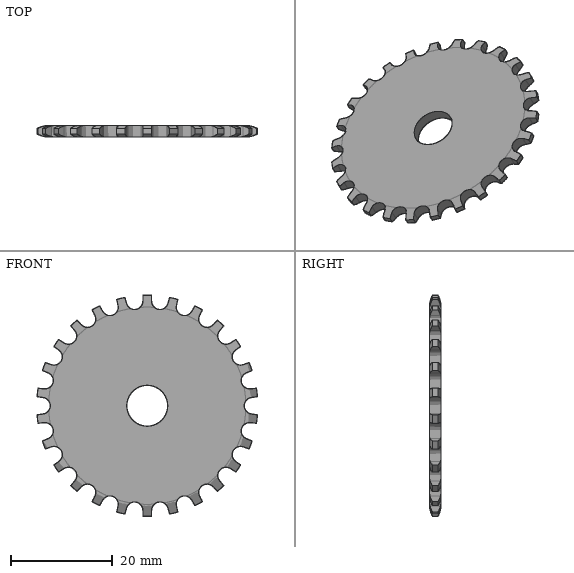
import cadquery as cq
import math


TOOTH_COUNT = 26
CHAIN_PITCH = 5.0
ROLLER_SEAT_RADIUS = 1.616

THICKNESS = 2.3
TIP_RADIUS = 21.8
BORE_DIAMETER = 8.0

TIP_HALF_WIDTH = 0.85
RELIEF_START_RADIUS = 19.42
RELIEF_ARC_RADIUS = 5.0

CUT_OVERRUN = 1.0

HALF_THICKNESS = THICKNESS / 2
HALF_PITCH_ANGLE = math.pi / TOOTH_COUNT
PITCH_RADIUS = CHAIN_PITCH / (2 * math.sin(HALF_PITCH_ANGLE))
CUT_RADIUS = TIP_RADIUS + CUT_OVERRUN


def relief_inset(radius):
    """Axial distance from the flat face to the relief arc at a given radius."""
    radial_run = radius - RELIEF_START_RADIUS
    return RELIEF_ARC_RADIUS - math.sqrt(RELIEF_ARC_RADIUS**2 - radial_run**2)


def make_blank():
    """Bored disc with a thinned rim, revolved about the Y axis."""
    bore_radius = BORE_DIAMETER / 2
    middle_radius = (RELIEF_START_RADIUS + TIP_RADIUS) / 2
    middle_y = HALF_THICKNESS - relief_inset(middle_radius)
    tip_y = HALF_THICKNESS - relief_inset(TIP_RADIUS)
    section = (
        cq.Workplane("XY")
        .moveTo(bore_radius, -HALF_THICKNESS)
        .lineTo(RELIEF_START_RADIUS, -HALF_THICKNESS)
        .threePointArc((middle_radius, -middle_y), (TIP_RADIUS, -tip_y))
        .lineTo(TIP_RADIUS, tip_y)
        .threePointArc((middle_radius, middle_y), (RELIEF_START_RADIUS, HALF_THICKNESS))
        .lineTo(bore_radius, HALF_THICKNESS)
        .close()
    )
    return section.revolve(360, (0, 0, 0), (0, 1, 0))


def make_gap_cutter():
    """Tooth gap centred on +Z: a roller seat arc with straight flanks tangent to it."""
    corner_angle = HALF_PITCH_ANGLE - math.asin(TIP_HALF_WIDTH / TIP_RADIUS)
    corner_x = TIP_RADIUS * math.sin(corner_angle)
    corner_z = TIP_RADIUS * math.cos(corner_angle)

    rise = corner_z - PITCH_RADIUS
    corner_distance = math.hypot(corner_x, rise)
    tangent_angle = math.atan2(rise, corner_x) - math.acos(ROLLER_SEAT_RADIUS / corner_distance)
    tangent_x = ROLLER_SEAT_RADIUS * math.cos(tangent_angle)
    tangent_z = PITCH_RADIUS + ROLLER_SEAT_RADIUS * math.sin(tangent_angle)

    flank_slope = (corner_x - tangent_x) / (corner_z - tangent_z)
    outer_x = corner_x + flank_slope * (CUT_RADIUS - corner_z)

    return (
        cq.Workplane("XZ")
        .moveTo(outer_x, CUT_RADIUS)
        .lineTo(tangent_x, tangent_z)
        .threePointArc((0, PITCH_RADIUS - ROLLER_SEAT_RADIUS), (-tangent_x, tangent_z))
        .lineTo(-outer_x, CUT_RADIUS)
        .close()
        .extrude(HALF_THICKNESS, both=True)
    )


def cut_gaps(blank):
    """Cut all tooth gaps, leaving one tooth centred on +Z."""
    cutter = make_gap_cutter()
    sprocket = blank
    pitch_angle = 360 / TOOTH_COUNT
    for index in range(TOOTH_COUNT):
        gap_angle = (index + 0.5) * pitch_angle
        sprocket = sprocket.cut(cutter.rotate((0, 0, 0), (0, 1, 0), gap_angle))
    return sprocket


result = cut_gaps(make_blank())